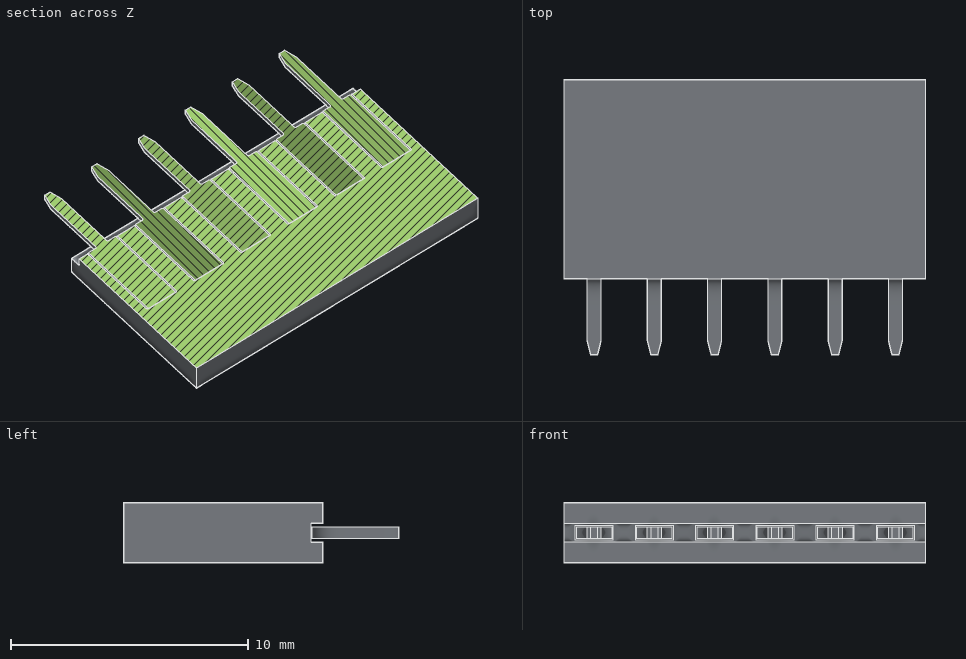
import cadquery as cq

pin_count = 6
pitch = 2.54

housing_width = pin_count * pitch
housing_depth = 8.4
housing_height = 2.54

channel_depth = 0.5
channel_height = 0.8

contact_thickness = 0.5
base_width = 1.5
base_stand_out = 0.03
tail_width = 0.6
tail_length = 3.2
tip_width = 0.3
taper_length = 0.6
corner_radius = 0.06

pocket_clearance = 0.05
pocket_depth = 4.0
pocket_width = base_width + 2 * pocket_clearance
pocket_height = contact_thickness + 2 * pocket_clearance

channel_floor_y = channel_depth
pocket_end_y = channel_floor_y + pocket_depth
shoulder_y = channel_floor_y - base_stand_out
taper_start_y = taper_length - tail_length
tip_y = -tail_length

pin_positions = [(i - (pin_count - 1) / 2) * pitch for i in range(pin_count)]


def block(width, height, start_y, end_y, center_x=0):
    """Box centred on Z that runs along Y from start_y to end_y."""
    return (
        cq.Workplane("XY")
        .box(width, end_y - start_y, height)
        .translate((center_x, (start_y + end_y) / 2, 0))
    )


def make_housing():
    """Block with an end-to-end channel and one blind pocket for each contact."""
    body = block(housing_width, housing_height, 0, housing_depth)
    body = body.cut(block(housing_width, channel_height, 0, channel_floor_y))
    for x in pin_positions:
        pocket = block(pocket_width, pocket_height, channel_floor_y, pocket_end_y, x)
        body = body.cut(pocket)
    return body


def make_contact(center_x):
    """Flat contact, seated on the pocket end, with rounded shoulders and a tapered tail."""
    half_base = base_width / 2
    half_tail = tail_width / 2
    half_tip = tip_width / 2
    outline = [
        (-half_base, pocket_end_y),
        (-half_base, shoulder_y),
        (-half_tail, shoulder_y),
        (-half_tail, taper_start_y),
        (-half_tip, tip_y),
        (half_tip, tip_y),
        (half_tail, taper_start_y),
        (half_tail, shoulder_y),
        (half_base, shoulder_y),
        (half_base, pocket_end_y),
    ]
    strip = cq.Workplane("XY").polyline(outline).close().extrude(contact_thickness / 2, both=True)

    shoulder_zone = cq.selectors.BoxSelector(
        (-base_width, shoulder_y - corner_radius, -contact_thickness),
        (base_width, shoulder_y + corner_radius, contact_thickness),
    )
    strip = strip.edges("|Z").edges(shoulder_zone).fillet(corner_radius)
    return strip.translate((center_x, 0, 0))


housing = make_housing()
contacts = [make_contact(x) for x in pin_positions]

result = cq.Compound.makeCompound([housing.val(), *[contact.val() for contact in contacts]])